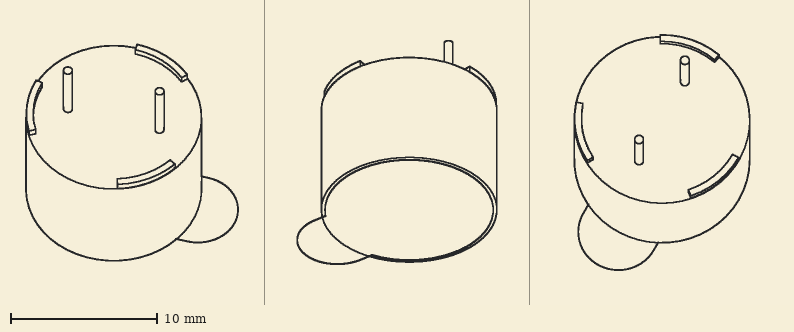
import cadquery as cq
import math

body_diameter = 12.0
body_radius = body_diameter / 2
film_thickness = 0.05
rim_height = 8.55

dish_diameter = 10.6
dish_depth = 0.37

standoff_inner_diameter = 11.0
standoff_inset = 0.03
standoff_height = 0.5
standoff_count = 3
standoff_start_angle = 48
standoff_span = 42

pin_diameter = 0.6
pin_spacing = 6.5
pin_top = 12.85

film_diameter = 11.5
total_length = 14.74
tab_width = 5.5
tab_offset_y = -0.1


def polar_point(radius, degrees):
    angle = math.radians(degrees)
    return (radius * math.cos(angle), radius * math.sin(angle))


def make_body():
    cylinder = (
        cq.Workplane("XY")
        .workplane(offset=film_thickness)
        .circle(body_radius)
        .extrude(rim_height - film_thickness)
    )
    dish_radius = dish_diameter / 2
    sphere_radius = (dish_radius**2 + dish_depth**2) / (2 * dish_depth)
    sphere_center_z = rim_height - dish_depth + sphere_radius
    dish = cq.Workplane("XY").sphere(sphere_radius).translate((0, 0, sphere_center_z))
    return cylinder.cut(dish)


def make_film():
    disc = cq.Workplane("XY").circle(film_diameter / 2).extrude(film_thickness)
    tab_radius = tab_width / 2
    tab_center_x = total_length - body_radius - tab_radius
    tab = (
        cq.Workplane("XY")
        .moveTo(0, tab_offset_y - tab_radius)
        .lineTo(tab_center_x, tab_offset_y - tab_radius)
        .threePointArc(
            (tab_center_x + tab_radius, tab_offset_y),
            (tab_center_x, tab_offset_y + tab_radius),
        )
        .lineTo(0, tab_offset_y + tab_radius)
        .close()
        .extrude(film_thickness)
    )
    return disc.union(tab)


def make_standoff(start_angle):
    inner_radius = standoff_inner_diameter / 2
    outer_radius = body_radius - standoff_inset
    middle_angle = start_angle + standoff_span / 2
    end_angle = start_angle + standoff_span
    return (
        cq.Workplane("XY")
        .workplane(offset=rim_height)
        .moveTo(*polar_point(inner_radius, start_angle))
        .lineTo(*polar_point(outer_radius, start_angle))
        .threePointArc(polar_point(outer_radius, middle_angle), polar_point(outer_radius, end_angle))
        .lineTo(*polar_point(inner_radius, end_angle))
        .threePointArc(polar_point(inner_radius, middle_angle), polar_point(inner_radius, start_angle))
        .close()
        .extrude(standoff_height)
    )


def make_pins():
    pin_base = rim_height - 2 * dish_depth
    return (
        cq.Workplane("XY")
        .workplane(offset=pin_base)
        .pushPoints([(-pin_spacing / 2, 0), (pin_spacing / 2, 0)])
        .circle(pin_diameter / 2)
        .extrude(pin_top - pin_base)
    )


result = make_body().union(make_film()).union(make_pins())
for index in range(standoff_count):
    result = result.union(make_standoff(standoff_start_angle + index * 360 / standoff_count))